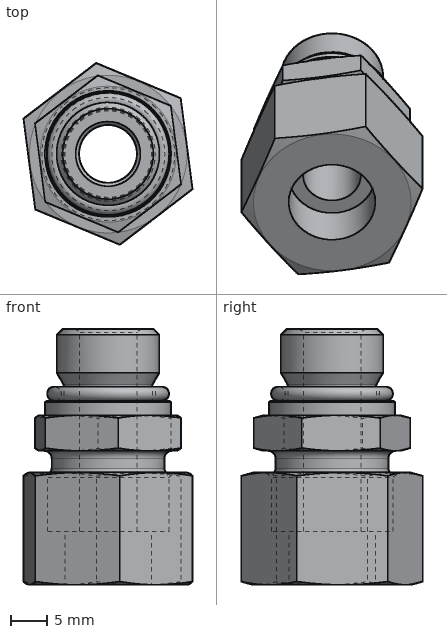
import cadquery as cq
import math

total_height = 35.5
nut_height = 15.6
hex_bottom = 18.55
hex_top = 23.55
collar_top = 25.52
stud_thread_bottom = 29.43
body_bottom = 7.45

hex_turn = 37.4
corner_chamfer_angle = 15.0
chamfer_circle_gap = 0.15
nut_across_flats = 22.0
body_across_flats = 19.0

stud_thread_diameter = 14.27
stud_chamfer = 0.85
groove_diameter = 12.25
groove_fillet = 0.7
collar_diameter = 17.5
collar_chamfer = 0.2

runout_angle = 30.0

neck_diameter = 15.7
neck_fillet = 1.0
flare_fillet = 0.85
neck_bottom = 16.15
tube_thread_diameter = 16.83

bore_diameter = 8.0
bore_chamfer = 0.5
tube_diameter = 12.0
nut_mouth_diameter = 18.42

ring_section_diameter = 1.95
ring_outer_diameter = 16.95

runout_lean = math.radians(runout_angle)


def runout_length(large_diameter, small_diameter):
    """Axial length of the runout cone between two diameters."""
    return (large_diameter - small_diameter) / 2 / math.tan(runout_lean)


def runout_tangent(fillet):
    """Distance from a runout corner to the ends of the fillet that rounds it."""
    return fillet * math.tan(runout_lean / 2)


flare_top = neck_bottom - runout_tangent(flare_fillet)
tube_thread_top = flare_top - runout_length(tube_thread_diameter, neck_diameter)


def chamfered_hexagon(across_flats, bottom, top):
    """Hexagonal prism along Z whose corners are turned to a shallow cone at both ends."""
    corner_radius = across_flats / math.sqrt(3)
    face_radius = across_flats / 2 - chamfer_circle_gap / 2
    drop = (corner_radius - face_radius) * math.tan(math.radians(corner_chamfer_angle))
    prism = (
        cq.Workplane("XY")
        .workplane(offset=bottom)
        .polygon(6, 2 * corner_radius)
        .extrude(top - bottom)
        .rotate((0, 0, 0), (0, 0, 1), hex_turn)
    )
    turned_blank = (
        cq.Workplane("XZ")
        .moveTo(0, bottom)
        .lineTo(face_radius, bottom)
        .lineTo(corner_radius, bottom + drop)
        .lineTo(corner_radius, top - drop)
        .lineTo(face_radius, top)
        .lineTo(0, top)
        .close()
        .revolve(360, (0, 0, 0), (0, 1, 0))
    )
    return prism.intersect(turned_blank)


def cylinder(diameter, bottom, top):
    """Round bar along Z."""
    return cq.Workplane("XY").workplane(offset=bottom).circle(diameter / 2).extrude(top - bottom)


def cone(bottom_diameter, top_diameter, bottom, top):
    """Frustum along Z."""
    return cq.Workplane(
        cq.Solid.makeCone(bottom_diameter / 2, top_diameter / 2, top - bottom, cq.Vector(0, 0, bottom))
    )


def make_stud():
    """Threaded stud above the collar, with a filleted O-ring groove below its runout cone."""
    thread_radius = stud_thread_diameter / 2
    groove_radius = groove_diameter / 2
    groove_top = stud_thread_bottom - runout_length(stud_thread_diameter, groove_diameter)
    tangent = runout_tangent(groove_fillet)
    arc_end = (
        groove_radius + tangent * math.sin(runout_lean),
        groove_top + tangent * math.cos(runout_lean),
    )
    return (
        cq.Workplane("XZ")
        .moveTo(0, collar_top)
        .lineTo(groove_radius, collar_top)
        .lineTo(groove_radius, groove_top - tangent)
        .radiusArc(arc_end, groove_fillet)
        .lineTo(thread_radius, stud_thread_bottom)
        .lineTo(thread_radius, total_height - stud_chamfer)
        .lineTo(thread_radius - stud_chamfer, total_height)
        .lineTo(0, total_height)
        .close()
        .revolve(360, (0, 0, 0), (0, 1, 0))
    )


def make_neck():
    """Neck and tube-side thread, with concave fillets into the hexagon and the flare."""
    neck_radius = neck_diameter / 2
    thread_radius = tube_thread_diameter / 2
    tangent = runout_tangent(flare_fillet)
    arc_start = (
        neck_radius + tangent * math.sin(runout_lean),
        flare_top - tangent * math.cos(runout_lean),
    )
    return (
        cq.Workplane("XZ")
        .moveTo(0, body_bottom)
        .lineTo(thread_radius, body_bottom)
        .lineTo(thread_radius, tube_thread_top)
        .lineTo(*arc_start)
        .radiusArc((neck_radius, neck_bottom), flare_fillet)
        .lineTo(neck_radius, hex_bottom - neck_fillet)
        .radiusArc((neck_radius + neck_fillet, hex_bottom), neck_fillet)
        .lineTo(0, hex_bottom)
        .close()
        .revolve(360, (0, 0, 0), (0, 1, 0))
    )


def make_body():
    """Fitting body: stud, collar, hexagon, neck and the tube-side thread, bored through."""
    collar = cylinder(collar_diameter, hex_top, collar_top).faces(">Z").chamfer(collar_chamfer)
    bore = cylinder(bore_diameter, body_bottom, total_height)
    bore_mouth = cone(
        bore_diameter, bore_diameter + 2 * bore_chamfer, total_height - bore_chamfer, total_height
    )
    return (
        chamfered_hexagon(body_across_flats, hex_bottom, hex_top)
        .union(collar)
        .union(make_stud())
        .union(make_neck())
        .cut(bore)
        .cut(bore_mouth)
    )


def make_nut():
    """Union nut: threaded bore for the body above, tube passage below."""
    mouth = cone(tube_thread_diameter, nut_mouth_diameter, tube_thread_top, nut_height)
    return (
        chamfered_hexagon(nut_across_flats, 0, nut_height)
        .cut(cylinder(tube_thread_diameter, body_bottom, nut_height))
        .cut(cylinder(tube_diameter, 0, body_bottom))
        .cut(mouth)
    )


def make_o_ring():
    """O-ring resting on the collar."""
    section_radius = ring_section_diameter / 2
    return cq.Workplane(
        cq.Solid.makeTorus(
            ring_outer_diameter / 2 - section_radius,
            section_radius,
            cq.Vector(0, 0, collar_top + section_radius),
        )
    )


body = make_body()
nut = make_nut()
o_ring = make_o_ring()

result = cq.Compound.makeCompound([body.val(), nut.val(), o_ring.val()])